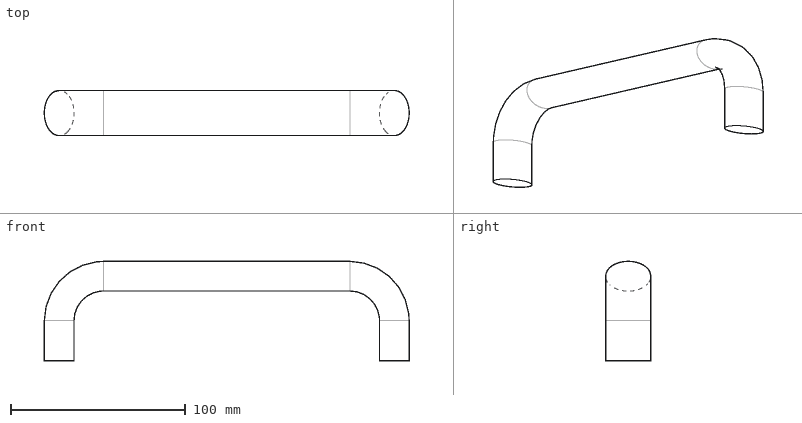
import cadquery as cq

length = 209.0
height = 57.0

grip_width = 26.0
grip_thickness = 17.1

bend_radius = 25.5
half_span = (length - grip_thickness) / 2
rail_height = height - grip_thickness / 2
leg_height = rail_height - bend_radius
rail_half_length = half_span - bend_radius

path = (
    cq.Workplane("XZ")
    .moveTo(-half_span, 0)
    .lineTo(-half_span, leg_height)
    .radiusArc((-rail_half_length, rail_height), bend_radius)
    .lineTo(rail_half_length, rail_height)
    .radiusArc((half_span, leg_height), bend_radius)
    .lineTo(half_span, 0)
)

result = (
    cq.Workplane("XY")
    .center(-half_span, 0)
    .ellipse(grip_thickness / 2, grip_width / 2)
    .sweep(path)
)